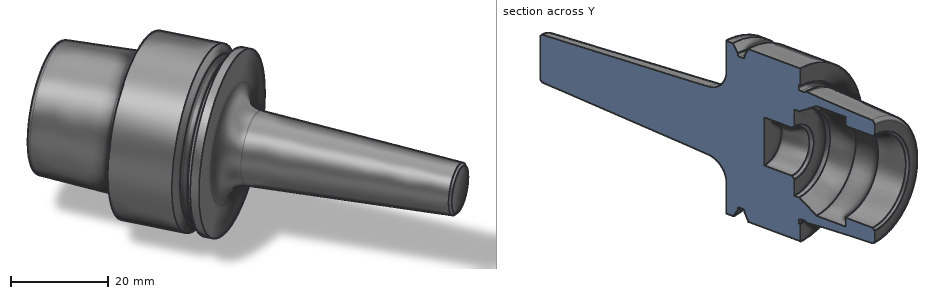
import cadquery as cq
import math

total_length = 90.0
collar_radius = 20.0
collar_start = 20.0
collar_end = 40.0

shank_tip_radius = 14.2
shank_land_start = 18.0
shank_land_end = 18.5
shank_land_radius = 15.1
shank_rounding = 0.8
neck_start = 18.8
neck_radius = 14.85

relief_depth = 0.45
relief_outer_radius = 15.9

groove_start = 34.0
groove_end = 38.1
groove_floor_start = 35.5
groove_floor_end = 36.45
groove_floor_radius = 17.5
groove_corner = 0.4
groove_wall_radius = 18.1

nose_tip_radius = 5.6
nose_half_angle = math.radians(3)
nose_chamfer = 0.5
nose_fillet = 5.0

lip_radius = 10.5
lip_chamfer = 0.5
lip_end = 7.9
clamp_radius = 12.6
clamp_end = 15.7
clamp_cone_half_angle = math.radians(30)
seat_radius = 9.9
seat_end = 21.6
core_radius = 5.5
core_chamfer = 0.6
core_end = 29.7


def revolve_about_x(outline):
    """Close a half outline along the X axis and turn it into a solid."""
    return outline.close().revolve(360, (0, 0, 0), (1, 0, 0))


def add_shank(outline):
    taper = (shank_land_radius - shank_tip_radius) / shank_land_start
    rounding_inset = shank_rounding * (1 - math.sqrt(0.5))
    return (
        outline.lineTo(0, shank_tip_radius - shank_rounding)
        .threePointArc(
            (rounding_inset, shank_tip_radius - rounding_inset),
            (shank_rounding, shank_tip_radius + taper * shank_rounding),
        )
        .lineTo(shank_land_start, shank_land_radius)
        .lineTo(shank_land_end, shank_land_radius)
        .lineTo(neck_start, neck_radius)
    )


def add_relief(outline):
    return (
        outline.lineTo(collar_start, neck_radius)
        .radiusArc((collar_start + relief_depth, neck_radius + relief_depth), -relief_depth)
        .lineTo(collar_start + relief_depth, relief_outer_radius)
        .lineTo(collar_start, relief_outer_radius)
    )


def add_collar(outline):
    wall_start = groove_floor_start - groove_corner
    wall_end = groove_floor_end + groove_corner
    corner_radius = groove_floor_radius + groove_corner
    return (
        outline.lineTo(collar_start, collar_radius)
        .lineTo(groove_start, collar_radius)
        .lineTo(wall_start, groove_wall_radius)
        .lineTo(wall_start, corner_radius)
        .radiusArc((groove_floor_start, groove_floor_radius), -groove_corner)
        .lineTo(groove_floor_end, groove_floor_radius)
        .radiusArc((wall_end, corner_radius), -groove_corner)
        .lineTo(wall_end, groove_wall_radius)
        .lineTo(groove_end, collar_radius)
        .lineTo(collar_end, collar_radius)
    )


def add_nose(outline):
    cone_start = collar_end + nose_fillet * (1 - math.sin(nose_half_angle))
    cone_end = total_length - nose_chamfer
    cone_start_radius = nose_tip_radius + (cone_end - cone_start) * math.tan(nose_half_angle)
    fillet_start_radius = cone_start_radius + nose_fillet * math.cos(nose_half_angle)
    return (
        outline.lineTo(collar_end, fillet_start_radius)
        .radiusArc((cone_start, cone_start_radius), -nose_fillet)
        .lineTo(cone_end, nose_tip_radius)
        .lineTo(total_length, nose_tip_radius - nose_chamfer)
        .lineTo(total_length, 0)
    )


def make_body():
    outline = cq.Workplane("XY")
    for add_section in (add_shank, add_relief, add_collar, add_nose):
        outline = add_section(outline)
    return revolve_about_x(outline)


def make_bore():
    cone_length = (clamp_radius - seat_radius) / math.tan(clamp_cone_half_angle)
    outline = (
        cq.Workplane("XY")
        .lineTo(0, lip_radius + lip_chamfer)
        .lineTo(lip_chamfer, lip_radius)
        .lineTo(lip_end, lip_radius)
        .lineTo(lip_end, clamp_radius)
        .lineTo(clamp_end, clamp_radius)
        .lineTo(clamp_end + cone_length, seat_radius)
        .lineTo(seat_end, seat_radius)
        .lineTo(seat_end, core_radius + core_chamfer)
        .lineTo(seat_end + core_chamfer, core_radius)
        .lineTo(core_end, core_radius)
        .lineTo(core_end, 0)
    )
    return revolve_about_x(outline)


result = make_body().cut(make_bore())